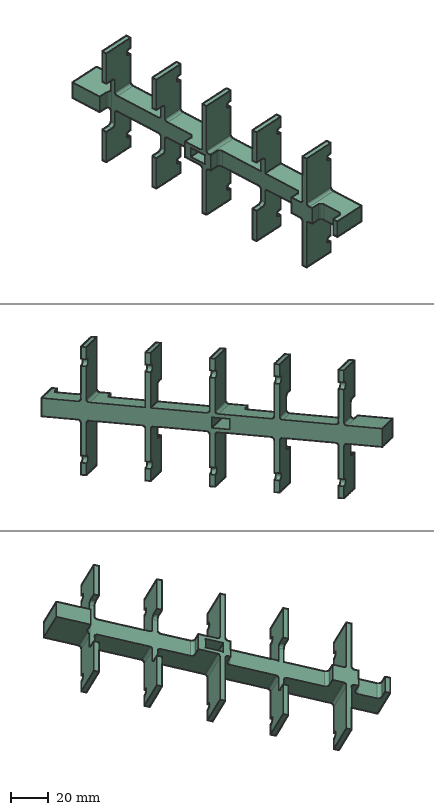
import cadquery as cq

LENGTH = 190.0
DEPTH = 19.4
HEIGHT = 71.5

BAR_HEIGHT = 10.3
BAR_DEPTH = 12.5

RIB_COUNT = 5
RIB_PITCH = 36.0
RIB_THICKNESS = 3.0
FIRST_RIB_X = 22.8
ROOT_RADIUS = 1.7
SQUARE_TOP_RIB = 3
RIB_CENTRES = [FIRST_RIB_X + i * RIB_PITCH for i in range(RIB_COUNT)]

POCKET_SPANS = [(19.5, 80.8), (99.2, 157.1), (172.0, 187.0)]
POCKET_HEIGHT = 31.5
POCKET_RADIUS = 2.0

WINDOW_START_X = 85.0
WINDOW_LENGTH = 10.0
WINDOW_HEIGHT = 5.9

NOTCH_Z = 27.0
NOTCH_WIDTH = 4.0
NOTCH_DEPTH = 3.0


def box(x_start, x_end, y_front, y_back, height):
    """Box spanning the given X and Y ranges, centred on Z = 0."""
    return (
        cq.Workplane("XY")
        .box(x_end - x_start, y_back - y_front, height, centered=(False, False, True))
        .translate((x_start, y_front, 0))
    )


def ribbed_bar():
    """Full-depth bar with cross ribs, rounded where the ribs meet the bar."""
    body = box(0, LENGTH, -DEPTH, 0, BAR_HEIGHT)
    half_rib = RIB_THICKNESS / 2
    for x in RIB_CENTRES:
        body = body.union(box(x - half_rib, x + half_rib, -DEPTH, 0, HEIGHT))
    corners = [
        (x + side * half_rib, -DEPTH / 2, level * BAR_HEIGHT / 2)
        for i, x in enumerate(RIB_CENTRES)
        for side in (-1, 1)
        for level in (-1, 1)
        if not (i == SQUARE_TOP_RIB and level == 1)
    ]
    root_edges = [
        body.edges(cq.selectors.NearestToPointSelector(corner)).val()
        for corner in corners
    ]
    return body.newObject(root_edges).fillet(ROOT_RADIUS)


def pocket(x_start, x_end):
    """Front pocket whose floor meets its walls in a rounded edge."""
    block = box(x_start, x_end, -DEPTH, -BAR_DEPTH, POCKET_HEIGHT)
    return block.faces(">Y").edges().fillet(POCKET_RADIUS)


def window():
    """Rectangular hole passing through the full depth of the bar."""
    return box(WINDOW_START_X, WINDOW_START_X + WINDOW_LENGTH, -DEPTH, 0, WINDOW_HEIGHT)


def notch(z):
    """Notch open to the back with a half-round end, running through every rib."""
    radius = NOTCH_WIDTH / 2
    round_start_y = radius - NOTCH_DEPTH
    return (
        cq.Workplane("YZ")
        .moveTo(0, z - radius)
        .lineTo(round_start_y, z - radius)
        .threePointArc((-NOTCH_DEPTH, z), (round_start_y, z + radius))
        .lineTo(0, z + radius)
        .close()
        .extrude(LENGTH)
    )


result = ribbed_bar()
for pocket_start, pocket_end in POCKET_SPANS:
    result = result.cut(pocket(pocket_start, pocket_end))
result = result.cut(window())
for notch_z in (-NOTCH_Z, NOTCH_Z):
    result = result.cut(notch(notch_z))